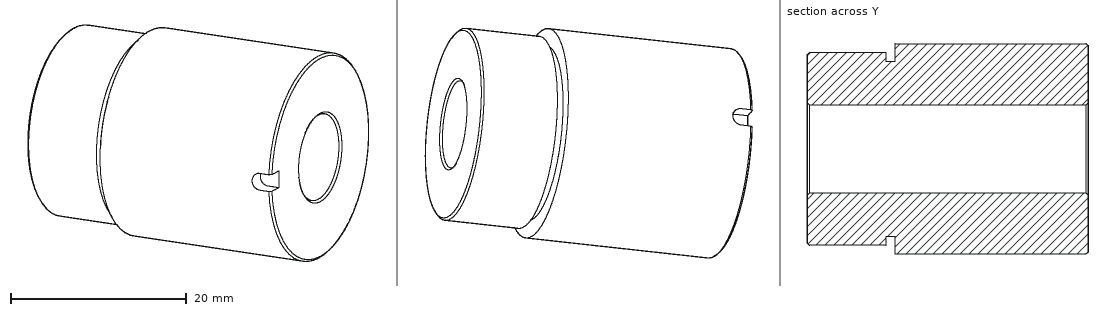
import cadquery as cq

total_length = 32.0
body_diameter = 24.0
spigot_diameter = 22.0
spigot_length = 9.0
groove_diameter = 20.0
groove_width = 1.0
bore_diameter = 10.0
edge_chamfer = 0.25
bore_chamfer = 0.25

notch_width = 2.0
notch_length = 2.4
notch_depth = 2.0

body_start = spigot_length + groove_width
body_length = total_length - body_start


def cylinder(start, length, diameter):
    return cq.Workplane("YZ").workplane(offset=start).circle(diameter / 2).extrude(length)


def make_notch():
    """Notch cutter sunk radially into the -Y side."""
    radius = notch_width / 2
    arc_center = total_length - notch_length + radius
    return (
        cq.Workplane("XZ", origin=(0, notch_depth - body_diameter / 2, 0))
        .moveTo(total_length, -radius)
        .lineTo(arc_center, -radius)
        .threePointArc((arc_center - radius, 0), (arc_center, radius))
        .lineTo(total_length, radius)
        .close()
        .extrude(notch_depth)
    )


spigot = cylinder(0, spigot_length, spigot_diameter).faces("<X").chamfer(edge_chamfer)
groove = cylinder(spigot_length, groove_width, groove_diameter)
body = cylinder(body_start, body_length, body_diameter).faces(">X").chamfer(edge_chamfer)
bushing = spigot.union(groove).union(body)

bushing = bushing.cut(cylinder(0, total_length, bore_diameter))
bore_mouths = cq.selectors.RadiusNthSelector(0)
bushing = bushing.faces("<X or >X").edges(bore_mouths).chamfer(bore_chamfer)

result = bushing.cut(make_notch())